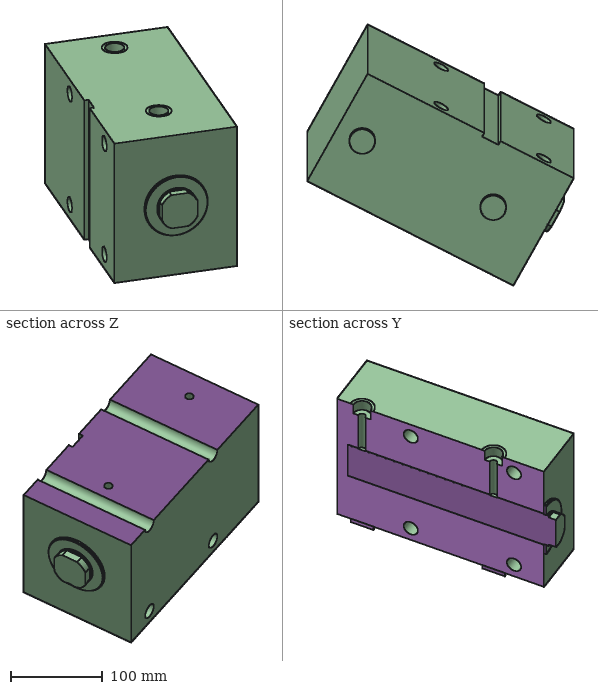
import cadquery as cq

BLOCK_LENGTH = 255.2
BLOCK_WIDTH = 140.0
BLOCK_HEIGHT = 170.0

MOUNT_HOLE_DIAMETER = 17.0
MOUNT_HOLE_XS = (91.0, 218.2)
MOUNT_HOLE_Z_SPACING = 135.0

SLOT_START_X = 144.5
SLOT_WIDTH = 20.0
SLOT_DEPTH = 4.9

PORT_XS = (30.8, 192.8)
PORT_SEAT_DIAMETER = 28.0
PORT_SEAT_DEPTH = 0.14
PORT_DIAMETER = 21.0
PORT_DEPTH = 13.2
PORT_CHANNEL_DIAMETER = 8.6

PLUG_DIAMETER = PORT_SEAT_DIAMETER
PLUG_HEIGHT = 4.9

OVERALL_LENGTH = 270.0
ROD_DIAMETER = 44.8
ROD_START_X = 13.5
ROD_SHOULDER_PROJECTION = 6.0
ROD_SHOULDER_CHAMFER = 0.5
ROD_ACROSS_FLATS = 40.5

GLAND_DIAMETER = 71.8
GLAND_THICKNESS = 3.2
GLAND_CHAMFER = 0.8


def cylinder_along_x(diameter, start_x, length):
    return cq.Workplane("YZ").workplane(offset=start_x).circle(diameter / 2).extrude(length)


def cylinder_down(diameter, x, top_z, depth):
    """Vertical cylinder that reaches down from top_z."""
    return cq.Workplane("XY").workplane(offset=top_z).center(x, 0).circle(diameter / 2).extrude(-depth)


def make_port(x):
    """Cutter for one oil port: shallow seat, plain bore and a channel down to the rod."""
    top_z = BLOCK_HEIGHT / 2
    seat = cylinder_down(PORT_SEAT_DIAMETER, x, top_z, PORT_SEAT_DEPTH)
    bore = cylinder_down(PORT_DIAMETER, x, top_z, PORT_DEPTH)
    channel = cylinder_down(PORT_CHANNEL_DIAMETER, x, top_z, top_z)
    return seat.union(bore).union(channel)


def make_block():
    block = cq.Workplane("XY").box(
        BLOCK_LENGTH, BLOCK_WIDTH, BLOCK_HEIGHT, centered=(False, True, True)
    )
    mount_points = [
        (x, side * MOUNT_HOLE_Z_SPACING / 2) for x in MOUNT_HOLE_XS for side in (-1, 1)
    ]
    mount_holes = (
        cq.Workplane("XZ")
        .pushPoints(mount_points)
        .circle(MOUNT_HOLE_DIAMETER / 2)
        .extrude(BLOCK_WIDTH / 2, both=True)
    )
    slot = (
        cq.Workplane("XY")
        .box(SLOT_WIDTH, SLOT_DEPTH, BLOCK_HEIGHT, centered=(False, False, True))
        .translate((SLOT_START_X, -BLOCK_WIDTH / 2, 0))
    )
    rod_bore = cylinder_along_x(ROD_DIAMETER, ROD_START_X, BLOCK_LENGTH - ROD_START_X)
    block = block.cut(mount_holes).cut(slot).cut(rod_bore)
    for x in PORT_XS:
        block = block.cut(make_port(x))
    return block


def make_rod():
    shoulder_x = BLOCK_LENGTH + ROD_SHOULDER_PROJECTION
    shank = cylinder_along_x(ROD_DIAMETER, ROD_START_X, shoulder_x - ROD_START_X)
    shank = shank.faces(">X").chamfer(ROD_SHOULDER_CHAMFER)
    end_length = OVERALL_LENGTH - shoulder_x
    flats = (
        cq.Workplane("YZ")
        .workplane(offset=shoulder_x)
        .rect(ROD_ACROSS_FLATS, ROD_ACROSS_FLATS)
        .extrude(end_length)
    )
    wrench_end = cylinder_along_x(ROD_DIAMETER, shoulder_x, end_length).intersect(flats)
    return shank.union(wrench_end)


def make_gland():
    ring = cylinder_along_x(GLAND_DIAMETER, BLOCK_LENGTH, GLAND_THICKNESS)
    ring = ring.faces(">X").chamfer(GLAND_CHAMFER)
    return ring.cut(cylinder_along_x(ROD_DIAMETER, BLOCK_LENGTH, GLAND_THICKNESS))


def make_plug(x):
    return cylinder_down(PLUG_DIAMETER, x, -BLOCK_HEIGHT / 2, PLUG_HEIGHT)


block = make_block()
rod = make_rod()
gland = make_gland()
plugs = [make_plug(x) for x in PORT_XS]

result = cq.Compound.makeCompound(
    [block.val(), rod.val(), gland.val(), *(plug.val() for plug in plugs)]
)